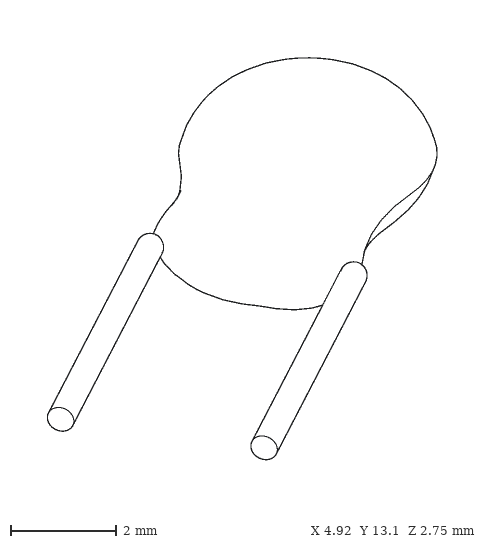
import cadquery as cq
import math


LENGTH = 13.08
THICKNESS = 2.75
HEAD_RADIUS = 2.46

FLAT_RADIUS = 0.75
NECK_RADIUS = 4.5
NECK_Y = -2.64
BASE_Y = -3.7
BASE_RADIUS = 3.88
BASE_FILLET = 0.34
NECK_END_ANGLE = 28.0

LEAD_RADIUS = 0.26
LEAD_SPACING = 4.0
LEAD_SHOULDER_Y = -4.1

HALF_THICKNESS = THICKNESS / 2
LEAD_TIP_Y = HEAD_RADIUS - LENGTH
EDGE_WIDTH = HEAD_RADIUS - FLAT_RADIUS
EDGE_ARC_RADIUS = (EDGE_WIDTH**2 + HALF_THICKNESS**2) / THICKNESS
EDGE_ARC_HALF_ANGLE = math.asin(EDGE_WIDTH / EDGE_ARC_RADIUS) / 2
EDGE_MID_INSET = EDGE_WIDTH - EDGE_ARC_RADIUS * math.sin(EDGE_ARC_HALF_ANGLE)
EDGE_MID_Z = HALF_THICKNESS - EDGE_ARC_RADIUS * (1 - math.cos(EDGE_ARC_HALF_ANGLE))
JOIN_ANGLE = math.degrees(math.asin(-NECK_Y / (HEAD_RADIUS + NECK_RADIUS)))
NECK_X = (HEAD_RADIUS + NECK_RADIUS) * math.cos(math.radians(JOIN_ANGLE))
NECK_FLAT_RADIUS = NECK_RADIUS + EDGE_WIDTH


def edge_profile(rim_x, flat_x):
    """Section in XZ: a curved edge bulging from the flats out to the sharp rim."""
    mid_x = rim_x + math.copysign(EDGE_MID_INSET, flat_x - rim_x)
    return (
        cq.Workplane("XZ")
        .moveTo(flat_x, -HALF_THICKNESS)
        .threePointArc((mid_x, -EDGE_MID_Z), (rim_x, 0))
        .threePointArc((mid_x, EDGE_MID_Z), (flat_x, HALF_THICKNESS))
    )


def neck_flat_point(angle):
    """XY point on the right-hand edge of the flats, at an angle below the neck centre."""
    turn = math.radians(angle)
    return (NECK_X - NECK_FLAT_RADIUS * math.cos(turn), NECK_Y - NECK_FLAT_RADIUS * math.sin(turn))


def make_head():
    """Round head, swept from one neck joint over the top to the other."""
    profile = edge_profile(HEAD_RADIUS, FLAT_RADIUS)
    profile = profile.lineTo(0, HALF_THICKNESS).lineTo(0, -HALF_THICKNESS).close()
    sector = profile.revolve(180 + 2 * JOIN_ANGLE, (0, 0), (0, 1))
    return sector.rotate((0, 0, 0), (0, 0, 1), -JOIN_ANGLE)


def make_neck_side():
    """Right-hand concave side, swept about the neck centre."""
    profile = edge_profile(-NECK_RADIUS, -NECK_FLAT_RADIUS).close()
    side = profile.revolve(JOIN_ANGLE + NECK_END_ANGLE, (0, 0), (0, 1))
    return side.rotate((0, 0, 0), (0, 0, 1), -JOIN_ANGLE).translate((NECK_X, NECK_Y, 0))


def make_core():
    """Flat-sided middle of the neck, reaching up to the head centre."""
    join_x, join_y = neck_flat_point(-JOIN_ANGLE)
    waist_x, waist_y = neck_flat_point(0)
    end_x, end_y = neck_flat_point(NECK_END_ANGLE)
    return (
        cq.Workplane("XY", origin=(0, 0, -HALF_THICKNESS))
        .lineTo(join_x, join_y)
        .threePointArc((waist_x, waist_y), (end_x, end_y))
        .lineTo(-end_x, end_y)
        .threePointArc((-waist_x, waist_y), (-join_x, join_y))
        .close()
        .extrude(THICKNESS)
    )


def make_lead(x):
    """Straight round wire with a domed end seated in the body."""
    wire = (
        cq.Workplane("XZ", origin=(x, LEAD_SHOULDER_Y, 0))
        .circle(LEAD_RADIUS)
        .extrude(LEAD_SHOULDER_Y - LEAD_TIP_Y)
    )
    dome = cq.Workplane("XY").sphere(LEAD_RADIUS).translate((x, LEAD_SHOULDER_Y, 0))
    return wire.union(dome)


def make_body(leads):
    """Coated body with a concave, rounded base and sockets for the leads."""
    side = make_neck_side()
    body = make_head().union(make_core()).union(side).union(side.mirror("YZ"))

    base_cutter = (
        cq.Workplane("XY", origin=(0, BASE_Y - BASE_RADIUS, -THICKNESS))
        .circle(BASE_RADIUS)
        .extrude(2 * THICKNESS)
    )
    body = body.cut(base_cutter)

    upper_space = cq.Workplane("XY").box(2 * LENGTH, 2 * LENGTH, THICKNESS, centered=(True, True, False))
    upper = body.intersect(upper_space)
    base_face = upper.faces(cq.selectors.NearestToPointSelector((0, BASE_Y, HALF_THICKNESS / 2)))
    upper = base_face.edges("not(<Z)").fillet(BASE_FILLET)
    body = upper.union(upper.mirror("XY"))

    for lead in leads:
        body = body.cut(lead)
    return body


leads = [make_lead(side * LEAD_SPACING / 2) for side in (-1, 1)]
body = make_body(leads)

result = cq.Compound.makeCompound([body.val(), *[lead.val() for lead in leads]])